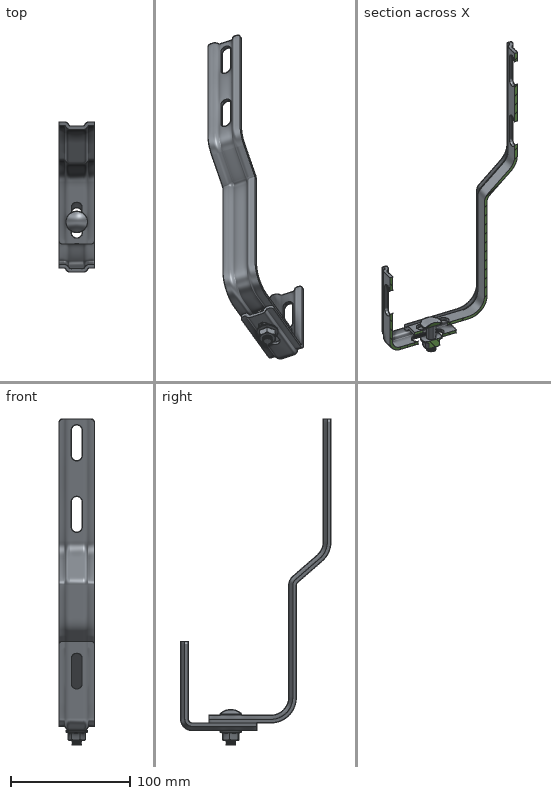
import cadquery as cq
import math


STRAP_WIDTH = 30.0
SHEET = 3.0
RIB_RISE = 3.5
STRAP_DEPTH = SHEET + RIB_RISE
GROOVE_FLOOR_HALF = 5.9
GROOVE_MOUTH_HALF = 8.45
RIB_INNER_RADIUS = 1.0
RIB_OUTER_RADIUS = RIB_INNER_RADIUS + SHEET
CORNER_RADIUS = 3.0

TIGHT_BEND = 3.5
WIDE_BEND = 15.0 + STRAP_DEPTH

UPPER_TOP = 255.0
UPPER_ARM_Y = 55.0
UPPER_LEG_LENGTH = 73.5
UPPER_LEG_END = UPPER_ARM_Y - UPPER_LEG_LENGTH
JOG = 29.0
JOG_ANGLE = math.radians(49)
JOG_TOP = UPPER_TOP - 103.0

LOWER_TOP = 68.5
LOWER_ARM_FACE = -42.2
LOWER_ARM_Y = LOWER_ARM_FACE + STRAP_DEPTH
LOWER_LEG_LENGTH = 64.0
LOWER_LEG_END = LOWER_ARM_FACE + LOWER_LEG_LENGTH

SLOT_LENGTH = 30.0
SLOT_WIDTH = 9.0
UPPER_SLOT_MARGIN = 5.0
LOWER_SLOT_MARGIN = 10.0
SLOT_PITCH = 60.0

BOLT_DIAMETER = 8.0
BOLT_LENGTH = 25.0
THREAD_PITCH = 1.25
THREAD_DEPTH = 0.7
HEAD_DIAMETER = 18.0
HEAD_HEIGHT = 4.8
HEAD_RIM = 1.2

NUT_HEIGHT = 8.0
NUT_ACROSS_FLATS = 13.0
NUT_ACROSS_CORNERS = NUT_ACROSS_FLATS / math.cos(math.pi / 6)
NUT_TURN = -7.0
NUT_FLANGE_DIAMETER = 17.9
NUT_FLANGE_RIM = 1.2
NUT_FLANGE_HEIGHT = 2.2
NUT_EDGE_CHAMFER = (NUT_ACROSS_CORNERS - NUT_ACROSS_FLATS) / 2
NUT_EDGE_CHAMFER_HEIGHT = 0.7

THREAD_TOP = -STRAP_DEPTH - NUT_HEIGHT
EXPOSED_THREADS = int((BOLT_LENGTH + THREAD_TOP - STRAP_DEPTH) / THREAD_PITCH)


def strap_section(plane):
    """Closed cross-section; local y runs from the flange face to the web face."""
    slope = math.atan2(RIB_RISE, GROOVE_MOUTH_HALF - GROOVE_FLOOR_HALF)
    shift = SHEET * math.tan(slope / 2)
    edge = STRAP_WIDTH / 2
    floor_outer = GROOVE_FLOOR_HALF + shift
    mouth_outer = GROOVE_MOUTH_HALF + shift
    sketch = (
        cq.Sketch()
        .polygon([
            (-edge, 0),
            (-GROOVE_MOUTH_HALF, 0),
            (-GROOVE_FLOOR_HALF, RIB_RISE),
            (GROOVE_FLOOR_HALF, RIB_RISE),
            (GROOVE_MOUTH_HALF, 0),
            (edge, 0),
            (edge, SHEET),
            (mouth_outer, SHEET),
            (floor_outer, STRAP_DEPTH),
            (-floor_outer, STRAP_DEPTH),
            (-mouth_outer, SHEET),
            (-edge, SHEET),
            (-edge, 0),
        ])
    )
    inside_bends = [
        (side * x, y)
        for side in (-1, 1)
        for x, y in ((GROOVE_FLOOR_HALF, RIB_RISE), (mouth_outer, SHEET))
    ]
    outside_bends = [
        (side * x, y)
        for side in (-1, 1)
        for x, y in ((GROOVE_MOUTH_HALF, 0), (floor_outer, STRAP_DEPTH))
    ]
    for bends, radius in ((inside_bends, RIB_INNER_RADIUS), (outside_bends, RIB_OUTER_RADIUS)):
        for x, y in bends:
            corner = cq.selectors.NearestToPointSelector((x, y, 0))
            sketch = sketch.reset().vertices(corner).fillet(radius)
    return cq.Workplane(plane).placeSketch(sketch.reset())


def upright_slot(bottom, y):
    """Upright slot cutter through an arm whose flange face is at y."""
    return (
        cq.Workplane("XZ", origin=(0, y, bottom + SLOT_LENGTH / 2))
        .slot2D(SLOT_LENGTH, SLOT_WIDTH, 90)
        .extrude(STRAP_DEPTH, both=True)
    )


def leg_slot(start):
    """Slot cutter through a leg; the slot runs toward +Y from start."""
    return (
        cq.Workplane("XY", origin=(0, start + SLOT_LENGTH / 2, 0))
        .slot2D(SLOT_LENGTH, SLOT_WIDTH, 90)
        .extrude(STRAP_DEPTH, both=True)
    )


def make_upper_strap():
    upper_y = UPPER_ARM_Y + JOG
    sine = math.sin(JOG_ANGLE)
    cosine = math.cos(JOG_ANGLE)
    slant = (JOG - (WIDE_BEND + TIGHT_BEND) * (1 - cosine)) / sine
    slant_start = (upper_y - WIDE_BEND * (1 - cosine), JOG_TOP - WIDE_BEND * sine)
    slant_end = (slant_start[0] - slant * sine, slant_start[1] - slant * cosine)
    jog_bottom = slant_end[1] - TIGHT_BEND * sine
    path = (
        cq.Workplane("YZ")
        .moveTo(upper_y, UPPER_TOP)
        .lineTo(upper_y, JOG_TOP)
        .tangentArcPoint(slant_start, relative=False)
        .lineTo(*slant_end)
        .tangentArcPoint((UPPER_ARM_Y, jog_bottom), relative=False)
        .lineTo(UPPER_ARM_Y, WIDE_BEND)
        .tangentArcPoint((UPPER_ARM_Y - WIDE_BEND, 0), relative=False)
        .lineTo(UPPER_LEG_END, 0)
    )
    top = cq.Plane(origin=(0, upper_y, UPPER_TOP), xDir=(-1, 0, 0), normal=(0, 0, 1))
    strap = strap_section(top).sweep(path)
    strap = strap.edges("|Y and >Z").fillet(CORNER_RADIUS)
    strap = strap.edges("|Z and <Y").fillet(CORNER_RADIUS)
    top_slot = UPPER_TOP - UPPER_SLOT_MARGIN - SLOT_LENGTH
    for bottom in (top_slot, top_slot - SLOT_PITCH):
        strap = strap.cut(upright_slot(bottom, upper_y))
    return strap.cut(leg_slot(UPPER_LEG_END + UPPER_SLOT_MARGIN))


def make_lower_strap():
    path = (
        cq.Workplane("YZ")
        .moveTo(LOWER_ARM_Y, LOWER_TOP)
        .lineTo(LOWER_ARM_Y, TIGHT_BEND)
        .tangentArcPoint((LOWER_ARM_Y + TIGHT_BEND, 0), relative=False)
        .lineTo(LOWER_LEG_END, 0)
    )
    top = cq.Plane(origin=(0, LOWER_ARM_Y, LOWER_TOP), xDir=(-1, 0, 0), normal=(0, 0, 1))
    strap = strap_section(top).sweep(path)
    strap = strap.edges("|Y and >Z").fillet(CORNER_RADIUS)
    strap = strap.edges("|Z and >Y").fillet(CORNER_RADIUS)
    strap = strap.cut(upright_slot(LOWER_TOP - LOWER_SLOT_MARGIN - SLOT_LENGTH, LOWER_ARM_Y))
    return strap.cut(leg_slot(LOWER_LEG_END - LOWER_SLOT_MARGIN - SLOT_LENGTH))


def thread_groove(top):
    """Ring cutter for one V-shaped thread groove, one pitch high, that starts at height top."""
    crest = BOLT_DIAMETER / 2
    return (
        cq.Workplane("XZ", origin=(0, 0, top))
        .moveTo(crest, 0)
        .lineTo(crest - THREAD_DEPTH, -THREAD_PITCH / 2)
        .lineTo(crest, -THREAD_PITCH)
        .close()
        .revolve(360, (0, 0), (0, 1))
    )


def make_bolt():
    head_radius = HEAD_DIAMETER / 2
    dome_rise = HEAD_HEIGHT - HEAD_RIM
    dome_radius = (head_radius**2 + dome_rise**2) / (2 * dome_rise)
    half_angle = math.asin(head_radius / dome_radius) / 2
    dome_middle = (
        dome_radius * math.sin(half_angle),
        HEAD_HEIGHT - dome_radius * (1 - math.cos(half_angle)),
    )
    head = (
        cq.Workplane("XZ", origin=(0, 0, STRAP_DEPTH))
        .lineTo(head_radius, 0)
        .lineTo(head_radius, HEAD_RIM)
        .threePointArc(dome_middle, (0, HEAD_HEIGHT))
        .close()
        .revolve(360, (0, 0), (0, 1))
    )
    shank = (
        cq.Workplane("XY", origin=(0, 0, STRAP_DEPTH))
        .circle(BOLT_DIAMETER / 2)
        .extrude(-BOLT_LENGTH)
    )
    bolt = head.union(shank)
    for index in range(EXPOSED_THREADS):
        bolt = bolt.cut(thread_groove(THREAD_TOP - index * THREAD_PITCH))
    return bolt


def make_nut():
    seat = cq.Workplane("XY", origin=(0, 0, -STRAP_DEPTH))
    hexagon = (
        seat.transformed(rotate=(0, 0, NUT_TURN))
        .polygon(6, NUT_ACROSS_CORNERS)
        .extrude(-NUT_HEIGHT)
    )
    rounded_corners = (
        seat.circle(NUT_ACROSS_CORNERS / 2)
        .extrude(-NUT_HEIGHT)
        .faces("<Z")
        .chamfer(NUT_EDGE_CHAMFER_HEIGHT, NUT_EDGE_CHAMFER)
    )
    flange = (
        cq.Workplane("XZ", origin=(0, 0, -STRAP_DEPTH))
        .lineTo(NUT_FLANGE_DIAMETER / 2, 0)
        .lineTo(NUT_FLANGE_DIAMETER / 2, -NUT_FLANGE_RIM)
        .lineTo(NUT_ACROSS_FLATS / 2, -NUT_FLANGE_HEIGHT)
        .lineTo(0, -NUT_FLANGE_HEIGHT)
        .close()
        .revolve(360, (0, 0), (0, 1))
    )
    bore = seat.circle(BOLT_DIAMETER / 2).extrude(-NUT_HEIGHT)
    return hexagon.intersect(rounded_corners).union(flange).cut(bore)


upper_strap = make_upper_strap()
lower_strap = make_lower_strap()
bolt = make_bolt()
nut = make_nut()

result = cq.Compound.makeCompound([
    upper_strap.val(),
    lower_strap.val(),
    bolt.val(),
    nut.val(),
])